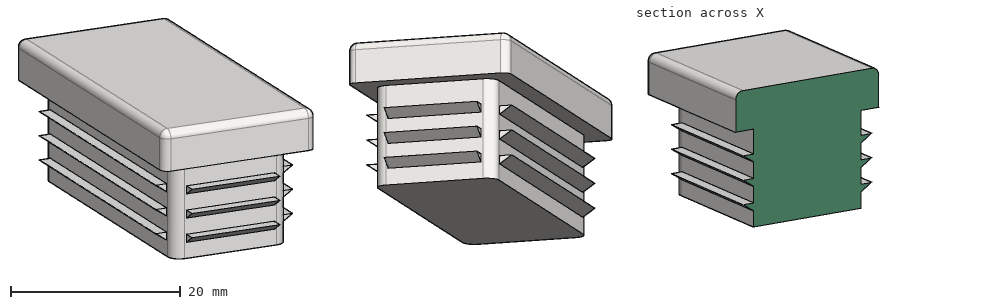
import cadquery as cq

cap_length = 40.0
cap_width = 20.0
cap_height = 5.0
cap_edge_radius = 1.0

plug_inset = 2.5
plug_length = cap_length - 2 * plug_inset
plug_width = cap_width - 2 * plug_inset
plug_depth = 12.0
plug_corner_radius = 1.5

fin_count = 3
fin_pitch = 3.0
fin_reach = 1.5
fin_thickness = 1.0
fin_end_gap = 0.25
fin_root_overlap = 0.5


def make_cap():
    """Head sitting on the plane Z = 0, with rounded upright and top edges."""
    cap = cq.Workplane("XY").box(cap_length, cap_width, cap_height, centered=(True, True, False))
    return cap.edges("|Z or >Z").fillet(cap_edge_radius)


def make_plug():
    """Solid plug hanging below the plane Z = 0."""
    plug = cq.Workplane("XY").rect(plug_length, plug_width).extrude(-plug_depth)
    return plug.edges("|Z").fillet(plug_corner_radius)


def make_fin(face_distance, face_width, top_z):
    """Fin on the +X side, with a level top and an underside sloping back to the plug."""
    fin_length = face_width - 2 * (plug_corner_radius + fin_end_gap)
    root_x = face_distance - fin_root_overlap
    profile = [
        (root_x, top_z),
        (face_distance + fin_reach, top_z),
        (face_distance, top_z - fin_thickness),
        (root_x, top_z - fin_thickness),
    ]
    return cq.Workplane("XZ").polyline(profile).close().extrude(fin_length / 2, both=True)


def add_fins(body):
    """Put a row of fins on each of the four plug faces."""
    for index in range(fin_count):
        top_z = -fin_pitch * (index + 1)
        end_fin = make_fin(plug_length / 2, plug_width, top_z)
        side_fin = make_fin(plug_width / 2, plug_length, top_z)
        for fin, angle in ((end_fin, 0), (side_fin, 90), (end_fin, 180), (side_fin, 270)):
            body = body.union(fin.rotate((0, 0, 0), (0, 0, 1), angle))
    return body


result = add_fins(make_cap().union(make_plug()))